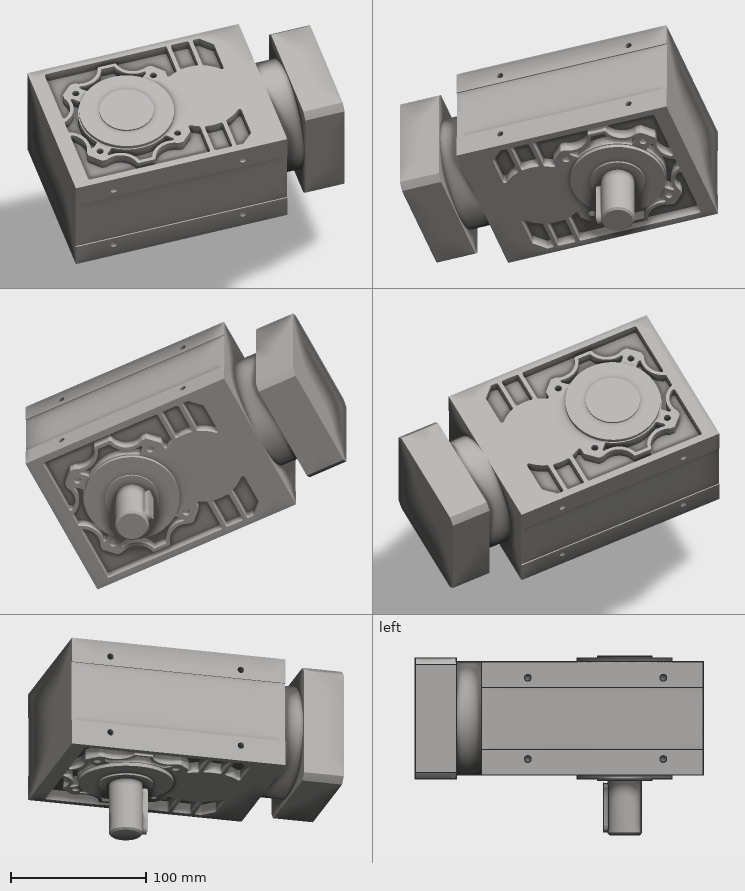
import cadquery as cq
import math


body_width = 120.0
body_height = 84.0
body_front = -58.1
body_back = 105.6
side_relief_depth = 0.9
side_relief_height = 46.0

neck_diameter = body_height
neck_length = 18.7
flange_size = 89.5
flange_corner_diameter = body_width
flange_length = 30.5

hub_diameter = 70.3
hub_height = 2.8
collar_diameter = 40.3
collar_height = 1.3

shaft_diameter = 25.0
shaft_length = 40.0
shaft_chamfer = 1.5
key_width = 8.0
key_length = 36.0
key_reach = 15.8
key_start = 2.0

hole_depth = 10.6
drill_point_angle = 118
hub_hole_diameter = 5.3
hub_hole_spacing = 60.0
side_hole_diameter = 5.0
side_hole_spacing_y = 100.1
side_hole_spacing_z = 60.0
side_hole_front = -28.5

pocket_depth = 8.0
pocket_corner_radius = 1.5
pocket_half_width = 54.7
pocket_front = -46.6
pocket_back = 82.0
pocket_corner_cut = 8.7
pocket_band = 14.0
pocket_rib = 3.0
gear_island_radius = 30.2
gear_island_y = 58.0

lug_reach = 39.6
lug_flat_start = 27.7
lug_flat_end = 31.3
arm_reach = 49.8
arm_half_width = 7.0
scallop_reach = 38.0
scallop_middle = 21.7
hub_wall_radius = 36.0
hub_rib = 2.5
cavity_half_span = 25.5
cavity_corner_radius = 0.9
lug_half_width = 5.85

half_height = body_height / 2
hub_top = half_height + hub_height
collar_top = hub_top + collar_height
flange_front = body_back + neck_length
pocket_floor = half_height - pocket_depth


def box(x_range, y_range, z_range):
    """Box given by its low and high limit along each axis."""
    limits = (x_range, y_range, z_range)
    size = [high - low for low, high in limits]
    return cq.Workplane("XY").box(*size, centered=False).translate(tuple(low for low, high in limits))


def disc(diameter, z_low, z_high):
    """Cylinder about the output shaft axis."""
    return cq.Workplane("XY").workplane(offset=z_low).circle(diameter / 2).extrude(z_high - z_low)


def drilled_hole(diameter):
    """Hole entering the plane Z = 0 downwards, ending in a drill point."""
    radius = diameter / 2
    tip = radius / math.tan(math.radians(drill_point_angle / 2))
    profile = [(0, 0), (radius, 0), (radius, -hole_depth), (0, -hole_depth - tip)]
    return cq.Workplane("XZ").polyline(profile).close().revolve(360, (0, 0), (0, 1))


def housing():
    """Block with a shallow relief along the middle of both X sides."""
    body = box((-body_width / 2, body_width / 2), (body_front, body_back), (-half_height, half_height))
    relief = box(
        (body_width / 2 - side_relief_depth, body_width / 2),
        (body_front, body_back),
        (-side_relief_height / 2, side_relief_height / 2),
    )
    return body.cut(relief).cut(relief.mirror("YZ"))


def motor_mount():
    """Round neck and square flange with rounded corners."""
    def along_y(start):
        return cq.Workplane("XZ", origin=(0, start, 0))

    neck = along_y(body_back).circle(neck_diameter / 2).extrude(-neck_length)
    flange = along_y(flange_front).rect(flange_size, flange_size).extrude(-flange_length)
    corner_round = along_y(flange_front).circle(flange_corner_diameter / 2).extrude(-flange_length)
    return neck.union(flange.intersect(corner_round))


def hub():
    """Stepped hub on the top face."""
    return disc(hub_diameter, 0, hub_top).union(disc(collar_diameter, 0, collar_top))


def output_shaft():
    """Shaft below the housing with a round-ended key on its +Y side."""
    end = -collar_top - shaft_length
    shaft = disc(shaft_diameter, end, 0).faces("<Z").chamfer(shaft_chamfer)
    key_middle = -collar_top - key_start - key_length / 2
    key = (
        cq.Workplane("XZ", origin=(0, 0, key_middle))
        .slot2D(key_length, key_width, 90)
        .extrude(-key_reach)
    )
    return shaft.union(key)


def star_outline():
    """Closed outline of the lugs and arms around the hub, walked counter-clockwise."""
    def turned(x, y, quarter):
        for _ in range(quarter):
            x, y = -y, x
        return x, y

    outline = cq.Workplane("XY").workplane(offset=pocket_floor).moveTo(arm_reach, -arm_half_width)
    for quarter in range(4):
        outline = (
            outline
            .lineTo(*turned(arm_reach, arm_half_width, quarter))
            .threePointArc(
                turned(scallop_reach, scallop_middle, quarter),
                turned(lug_reach, lug_flat_start, quarter),
            )
            .lineTo(*turned(lug_reach, lug_flat_end, quarter))
            .lineTo(*turned(lug_flat_end, lug_reach, quarter))
            .lineTo(*turned(lug_flat_start, lug_reach, quarter))
            .threePointArc(
                turned(scallop_middle, scallop_reach, quarter),
                turned(arm_half_width, arm_reach, quarter),
            )
        )
    return outline.close()


def outer_pockets():
    """Pockets between the frame of the face and the islands of the gear and the hub."""
    z_range = (pocket_floor, half_height)
    x_range = (-pocket_half_width, pocket_half_width)
    back_band_front = pocket_back - pocket_band
    middle_band_back = back_band_front - pocket_rib
    middle_band_front = middle_band_back - pocket_band
    hub_band_back = middle_band_front - pocket_rib

    back_band = box(x_range, (back_band_front, pocket_back), z_range)
    back_band = back_band.edges("|Z and >Y").chamfer(pocket_corner_cut)
    middle_band = box(x_range, (middle_band_front, middle_band_back), z_range)
    hub_band = box(x_range, (pocket_front, hub_band_back), z_range)

    gear_island = disc(2 * gear_island_radius, *z_range).translate((0, gear_island_y, 0))
    hub_island = star_outline().extrude(pocket_depth)
    neck_island = box((-lug_flat_end, lug_flat_end), (0, lug_reach), z_range)
    islands = gear_island.union(hub_island).union(neck_island)
    pockets = back_band.union(middle_band).union(hub_band).cut(islands)
    return pockets.edges("|Z").fillet(pocket_corner_radius)


def hub_cavities():
    """Hollows inside the two side arms and the front arm, between the bolt lugs."""
    z_range = (pocket_floor, half_height)
    span = (-cavity_half_span, cavity_half_span)
    side_arms = box((-arm_reach, arm_reach), span, z_range)
    front_arm = box(span, (pocket_front, 0), z_range)
    inside = star_outline().offset2D(-hub_rib).extrude(pocket_depth)
    inside = inside.intersect(side_arms.union(front_arm))
    inside = inside.cut(disc(2 * hub_wall_radius, *z_range))
    for angle in (45, -45):
        lug = box((-2 * arm_reach, 2 * arm_reach), (-lug_half_width, lug_half_width), z_range)
        inside = inside.cut(lug.rotate((0, 0, 0), (0, 0, 1), angle))
    return inside.edges("|Z").fillet(cavity_corner_radius)


def hub_holes():
    """One hole in each of the four bolt lugs."""
    return (
        cq.Workplane("XY", origin=(0, 0, half_height))
        .rect(hub_hole_spacing, hub_hole_spacing, forConstruction=True)
        .vertices()
        .eachpoint(drilled_hole(hub_hole_diameter).val(), True)
    )


def side_holes():
    """Four holes in the +X side."""
    return (
        cq.Workplane("YZ", origin=(body_width / 2, side_hole_front + side_hole_spacing_y / 2, 0))
        .rect(side_hole_spacing_y, side_hole_spacing_z, forConstruction=True)
        .vertices()
        .eachpoint(drilled_hole(side_hole_diameter).val(), True)
    )


result = housing()
for cutter in (outer_pockets(), hub_cavities(), hub_holes()):
    result = result.cut(cutter).cut(cutter.mirror("XY"))
result = result.cut(side_holes()).cut(side_holes().mirror("YZ"))
result = result.union(hub()).union(hub().mirror("XY"))
result = result.union(motor_mount()).union(output_shaft())